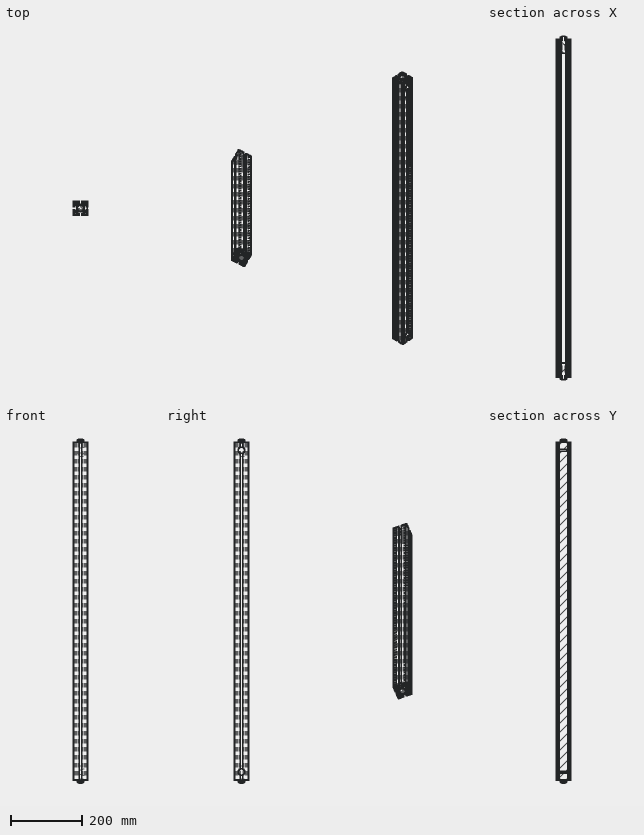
import cadquery as cq
import math

profile_width = 40.0
profile_length = 950.0
corner_radius = 1.0
slot_opening = 8.2
lip_thickness = 4.5
chamber_width = 20.0
chamber_chamfer = 3.0
slot_depth = 9.5
cavity_width = 5.0
cavity_center = 14.5
bore_diameter = 12.2
barrel_hole_diameter = 18.1

shank_diameter = 12.0
shank_length = 37.0
shank_setback = 3.0
neck_diameter = 7.8
head_diameter = 18.0
head_overhang = 9.0
head_gap = 4.0
head_rim_height = 1.5

barrel_diameter = 18.0
barrel_end_distance = 22.5
barrel_setback = 1.0

half_width = profile_width / 2
half_length = profile_length / 2
barrel_inner_x = -barrel_diameter / 2
barrel_outer_x = half_width - barrel_setback
barrel_z = half_length - barrel_end_distance
ends = (1, -1)


def make_slot_cutter(angle):
    """Full-length T-slot in the +X side, turned about Z by the angle."""
    half_opening = slot_opening / 2
    half_chamber = chamber_width / 2
    lip_x = half_width - lip_thickness
    floor_x = half_width - slot_depth
    upper_half = [
        (half_width, half_opening),
        (lip_x, half_opening),
        (lip_x, half_chamber),
        (floor_x + chamber_chamfer, half_chamber),
        (floor_x, half_chamber - chamber_chamfer),
    ]
    lower_half = [(x, -y) for x, y in reversed(upper_half)]
    cutter = cq.Workplane("XY").polyline(upper_half + lower_half).close().extrude(half_length, both=True)
    return cutter.rotate((0, 0, 0), (0, 0, 1), angle)


def make_cross_cylinder(diameter, outer_x, z):
    """Cylinder along X at height z, from the inner end of the barrel to outer_x."""
    plane = cq.Workplane("YZ", origin=(barrel_inner_x, 0, z))
    return plane.circle(diameter / 2).extrude(outer_x - barrel_inner_x)


def make_axial_bore():
    """Full-length cutter for the hole that takes the bolt shanks."""
    return cq.Workplane("XY").circle(bore_diameter / 2).extrude(half_length, both=True)


def make_profile():
    """Square profile with four T-slots, corner cavities, a bore and a barrel hole near each end."""
    body = cq.Workplane("XY").rect(profile_width, profile_width).extrude(half_length, both=True)
    body = body.edges("|Z").fillet(corner_radius)
    for quarter in range(4):
        body = body.cut(make_slot_cutter(90 * quarter))
    cavity_spacing = 2 * cavity_center
    cavities = cq.Workplane("XY").rect(cavity_spacing, cavity_spacing, forConstruction=True).vertices()
    body = body.cut(cavities.rect(cavity_width, cavity_width).extrude(half_length, both=True))
    body = body.cut(make_axial_bore())
    for end in ends:
        body = body.cut(make_cross_cylinder(barrel_hole_diameter, half_width, end * barrel_z))
    return body


def make_bolt(end):
    """Turned bolt: shank inside the bore, slim neck and domed head beyond the end face."""
    shank_radius = shank_diameter / 2
    neck_radius = neck_diameter / 2
    head_radius = head_diameter / 2
    shank_top = half_length - shank_setback
    shank_bottom = shank_top - shank_length
    head_base = half_length + head_gap
    rim_top = head_base + head_rim_height
    tip = half_length + head_overhang

    dome_height = tip - rim_top
    dome_radius = (head_radius**2 + dome_height**2) / (2 * dome_height)
    middle_angle = math.asin(head_radius / dome_radius) / 2
    dome_middle = (
        dome_radius * math.sin(middle_angle),
        tip - dome_radius * (1 - math.cos(middle_angle)),
    )

    bolt = (
        cq.Workplane("XZ")
        .moveTo(0, shank_bottom)
        .lineTo(shank_radius, shank_bottom)
        .lineTo(shank_radius, shank_top)
        .lineTo(neck_radius, shank_top)
        .lineTo(neck_radius, head_base)
        .lineTo(head_radius, head_base)
        .lineTo(head_radius, rim_top)
        .threePointArc(dome_middle, (0, tip))
        .close()
        .revolve(360, (0, 0, 0), (0, 1, 0))
    )
    if end < 0:
        bolt = bolt.mirror("XY")
    return bolt


def make_barrel(end):
    """Cross barrel with a hole for the bolt shank."""
    barrel = make_cross_cylinder(barrel_diameter, barrel_outer_x, end * barrel_z)
    return barrel.cut(make_axial_bore())


profile = make_profile()
bolts = [make_bolt(end) for end in ends]
barrels = [make_barrel(end) for end in ends]

bodies = [profile, *bolts, *barrels]
result = cq.Compound.makeCompound([body.solids().val() for body in bodies])